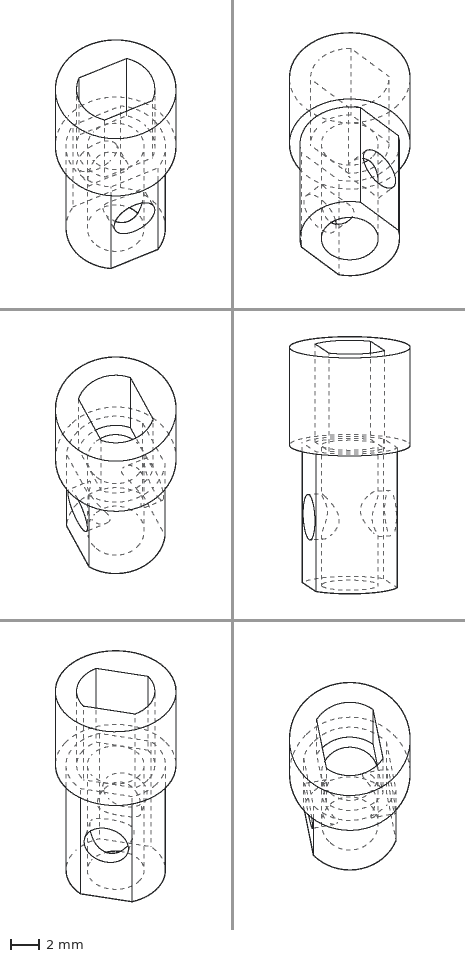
import cadquery as cq

total_height = 17.0
head_diameter = 8.5
head_height = 7.0
shank_height = total_height - head_height

shank_diameter = 7.0
shank_across_flats = 5.93

bore_diameter = 4.0
socket_diameter = 5.5
socket_across_flats = 4.05
socket_depth = head_height
cross_hole_diameter = 3.2
cross_hole_height = shank_height / 2


def double_flat_bar(diameter, across_flats, height, base_z):
    """Round vertical bar trimmed by two flats perpendicular to X."""
    bar = cq.Workplane("XY").workplane(offset=base_z).circle(diameter / 2).extrude(height)
    trim = (
        cq.Workplane("XY")
        .workplane(offset=base_z)
        .rect(across_flats, diameter)
        .extrude(height)
    )
    return bar.intersect(trim)


shank = double_flat_bar(shank_diameter, shank_across_flats, shank_height, 0)
head = (
    cq.Workplane("XY")
    .workplane(offset=shank_height)
    .circle(head_diameter / 2)
    .extrude(head_height)
)

bore = cq.Workplane("XY").circle(bore_diameter / 2).extrude(total_height)
socket = double_flat_bar(
    socket_diameter, socket_across_flats, socket_depth, total_height - socket_depth
)
cross_hole = (
    cq.Workplane("YZ")
    .center(0, cross_hole_height)
    .circle(cross_hole_diameter / 2)
    .extrude(shank_diameter / 2, both=True)
)

result = shank.union(head).cut(bore).cut(socket).cut(cross_hole)